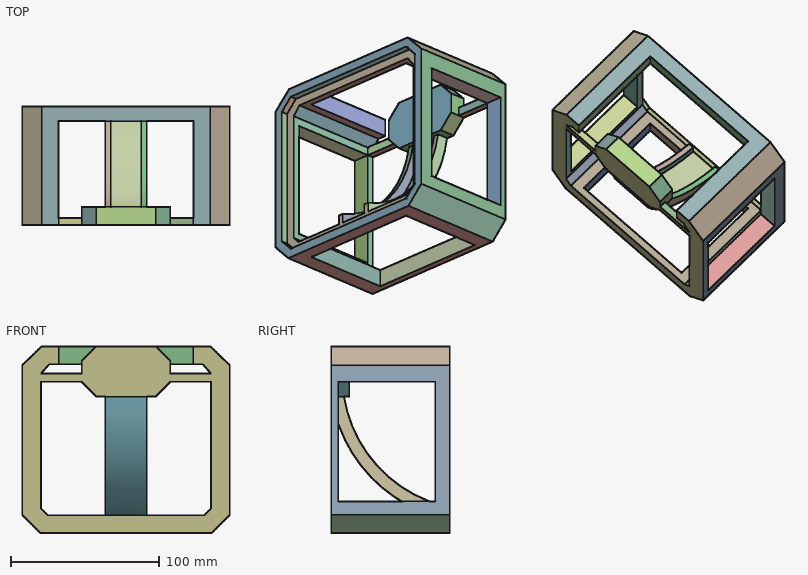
import cadquery as cq

width = 140.0
depth = 80.0
height = 126.0
mid_x = width / 2

top_chamfer_x = 13.2
top_chamfer_z = 12.7
bottom_chamfer = 12.3
side_wall = 12.7
floor_wall = 12.2
inner_top_chamfer_x = 5.5
inner_top_chamfer_z = 6.3
inner_bottom_chamfer = 4.5

front_post = 4.9
rear_post = 10.0
opening_depth = depth - front_post - rear_post
top_opening_width = 90.7
side_opening_bottom = 21.4
side_opening_top = 101.9

recess_depth = 4.9
lip_wall = 6.3
recess_chamfer = 8.4

bar_bottom = 101.9
bar_height = 5.9
plate_width = 59.9
plate_height = 34.0
plate_depth = 12.2
plate_chamfer = 10.0

strap_width = 28.1
strap_center_y = 98.3
strap_center_z = 106.4
strap_outer_radius = 99.1
strap_thickness = 8.4
strap_floor = 2.0
strap_rim = 3.9
strap_end_y = depth - recess_depth
strap_top = height - plate_height / 2


def box(x, y, z, size_x, size_y, size_z):
    """Box with its lower front left corner at (x, y, z)."""
    return cq.Workplane("XY").box(size_x, size_y, size_z, centered=False).translate((x, y, z))


def octagon(left, right, bottom, top, low_cut, high_cut_x, high_cut_z, length):
    """Rectangle with cut corners, extruded from the front face towards +Y."""
    points = [
        (left + low_cut, bottom),
        (right - low_cut, bottom),
        (right, bottom + low_cut),
        (right, top - high_cut_z),
        (right - high_cut_x, top),
        (left + high_cut_x, top),
        (left, top - high_cut_z),
        (left, bottom + low_cut),
    ]
    return cq.Workplane("XZ").polyline(points).close().extrude(-length)


def make_frame():
    outside = octagon(
        0, width, 0, height, bottom_chamfer, top_chamfer_x, top_chamfer_z, depth
    )
    inside = octagon(
        side_wall, width - side_wall, floor_wall, height - floor_wall,
        inner_bottom_chamfer, inner_top_chamfer_x, inner_top_chamfer_z, depth
    )
    opening_x = (width - top_opening_width) / 2
    floor_and_roof_opening = box(
        opening_x, front_post, 0, top_opening_width, opening_depth, height
    )
    roof_gap = box(opening_x, 0, height / 2, top_opening_width, depth - rear_post, height / 2)
    side_openings = box(
        0, front_post, side_opening_bottom,
        width, opening_depth, side_opening_top - side_opening_bottom
    )
    recess = octagon(
        lip_wall, width - lip_wall, lip_wall, height - lip_wall,
        recess_chamfer, recess_chamfer, recess_chamfer, recess_depth
    ).translate((0, depth - recess_depth, 0))
    tube = outside.cut(inside).cut(recess)
    return tube.cut(floor_and_roof_opening).cut(roof_gap).cut(side_openings)


def make_crossbar():
    return box(side_wall, 0, bar_bottom, width - 2 * side_wall, front_post, bar_height)


def make_plate():
    return octagon(
        mid_x - plate_width / 2, mid_x + plate_width / 2, height - plate_height, height,
        plate_chamfer, plate_chamfer, plate_chamfer, plate_depth
    )


def arc_cylinder(radius, length):
    """Cylinder about the strap's center of curvature, centered on the part's width."""
    return (
        cq.Workplane("YZ", origin=(mid_x, 0, 0))
        .center(strap_center_y, strap_center_z)
        .circle(radius)
        .extrude(length / 2, both=True)
    )


def make_strap():
    inner_radius = strap_outer_radius - strap_thickness
    floor_radius = strap_outer_radius - strap_floor
    ring = arc_cylinder(strap_outer_radius, strap_width)
    ring = ring.cut(arc_cylinder(inner_radius, strap_width))
    channel = ring.cut(arc_cylinder(floor_radius, strap_width - 2 * strap_rim))
    kept_region = box(0, 0, 0, width, strap_end_y, strap_top)
    return channel.intersect(kept_region)


result = make_frame().union(make_crossbar()).union(make_plate()).union(make_strap())